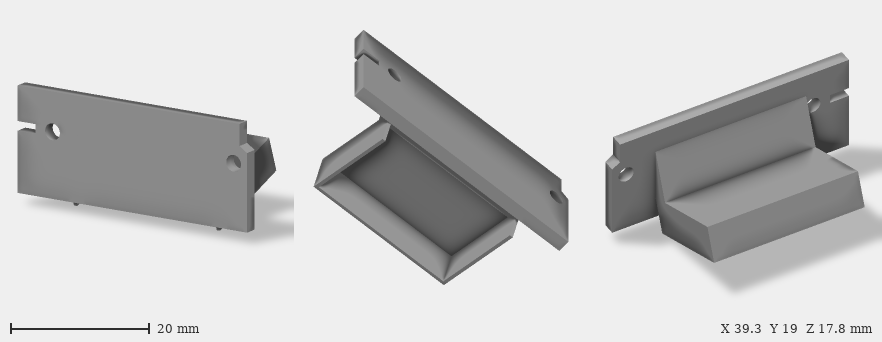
import cadquery as cq
import math

plate_length = 39.3
plate_height = 16.05
plate_thickness = 2.0

hole_diameter = 2.5
hole_z = plate_height - 6.05
hole_xs = (5.97, 36.97)

slot_depth = 3.1
slot_width = 1.45

relief_width = 1.3
relief_inner_depth = 3.3
relief_outer_depth = 4.15

hood_x = 7.1
hood_width = 25.0
wall = 0.55
tilt_deg = 20.0
arm_length = 16.0
arm_thickness = 5.7
leg_thickness = 2.95
overall_depth = 18.98
heel_z = -1.73

tilt = math.radians(tilt_deg)
heel_y = overall_depth - arm_length * math.cos(tilt)


def hood_point(along_arm, up_leg):
    """Y, Z of a point measured from the heel along the arm and up the leg."""
    y = heel_y + along_arm * math.cos(tilt) - up_leg * math.sin(tilt)
    z = heel_z + along_arm * math.sin(tilt) + up_leg * math.cos(tilt)
    return y, z


def leg_at_plate(along_arm):
    """Y, Z where a line parallel to the leg meets the back of the plate."""
    start_y = heel_y + along_arm * math.cos(tilt)
    return hood_point(along_arm, (start_y - plate_thickness) / math.sin(tilt))


def make_plate():
    outline = [
        (0, 0),
        (plate_length, 0),
        (plate_length, plate_height - relief_outer_depth),
        (plate_length - relief_width, plate_height - relief_inner_depth),
        (plate_length - relief_width, plate_height),
        (0, plate_height),
        (0, hole_z + slot_width / 2),
        (slot_depth, hole_z + slot_width / 2),
        (slot_depth, hole_z - slot_width / 2),
        (0, hole_z - slot_width / 2),
    ]
    plate = cq.Workplane("XZ").polyline(outline).close().extrude(-plate_thickness)
    holes = (
        cq.Workplane("XZ")
        .pushPoints([(x, hole_z) for x in hole_xs])
        .circle(hole_diameter / 2)
        .extrude(-plate_thickness)
    )
    return plate.cut(holes)


def make_hood_prism(inset):
    """L-shaped prism, its top, end and side faces moved inward by inset."""
    outline = [
        leg_at_plate(0),
        hood_point(0, 0),
        hood_point(arm_length - inset, 0),
        hood_point(arm_length - inset, arm_thickness - inset),
        hood_point(leg_thickness - inset, arm_thickness - inset),
        leg_at_plate(leg_thickness - inset),
    ]
    return (
        cq.Workplane("YZ", origin=(hood_x + inset, 0, 0))
        .polyline(outline)
        .close()
        .extrude(hood_width - 2 * inset)
    )


hood = make_hood_prism(0).cut(make_hood_prism(wall))

result = make_plate().union(hood)